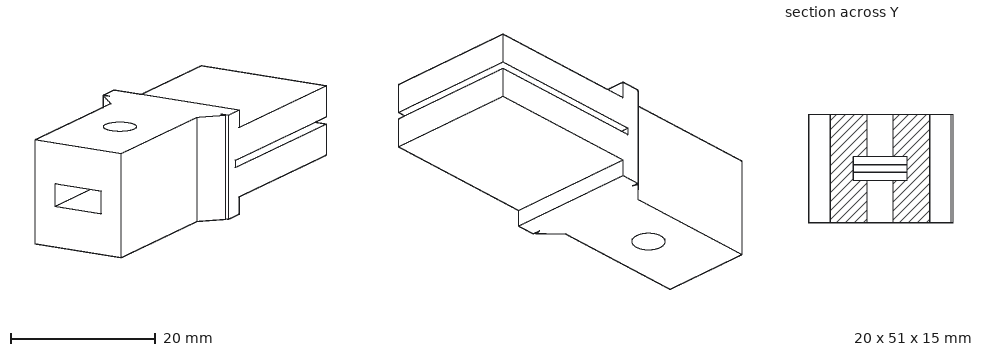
import cadquery as cq
import math

flange_width = 20.0
length = 51.0
height = 15.0

housing_width = 13.75
housing_offset_x = -0.1

flange_front_y = 24.0
flange_back_y = 27.0

wedge_radius = 3.0
wedge_center_y = 23.0
wedge_tip_angles = (45, 165, 285)

plate_thickness = 4.5
plate_gap = 1.0
plate_start_y = 26.0

pocket_width = 7.4
pocket_height = 3.25
hole_diameter = 4.6
hole_center_y = 11.55


def block(width, start_y, end_y, thickness, center_x=0.0, center_z=0.0):
    """Box centred in X and Z on the given point, running from start_y to end_y."""
    center_y = (start_y + end_y) / 2
    box = cq.Workplane("XY").box(width, end_y - start_y, thickness)
    return box.translate((center_x, center_y, center_z))


def corner_wedge(side):
    """Full-height equilateral prism centred on the housing's -X (side=-1) or +X (side=1) wall."""
    center_x = housing_offset_x + side * housing_width / 2
    tips = []
    for angle in wedge_tip_angles:
        across = wedge_radius * math.cos(math.radians(angle))
        along = wedge_radius * math.sin(math.radians(angle))
        tips.append((center_x - side * across, wedge_center_y + along))
    return cq.Workplane("XY").polyline(tips).close().extrude(height / 2, both=True)


housing = block(housing_width, 0, flange_front_y, height, center_x=housing_offset_x)
flange = block(flange_width, flange_front_y, flange_back_y, height)
body = housing.union(flange)
for side in (-1, 1):
    body = body.union(corner_wedge(side))

body = body.cut(block(flange_width, plate_start_y, flange_back_y, plate_gap))

plate_center_z = (plate_gap + plate_thickness) / 2
for side in (-1, 1):
    plate = block(flange_width, plate_start_y, length, plate_thickness, center_z=side * plate_center_z)
    body = body.union(plate)

pocket = block(pocket_width, 0, plate_start_y, pocket_height, center_x=housing_offset_x)
body = body.cut(pocket)

hole = (
    cq.Workplane("XY")
    .center(housing_offset_x, hole_center_y)
    .circle(hole_diameter / 2)
    .extrude(height / 2, both=True)
)
result = body.cut(hole)